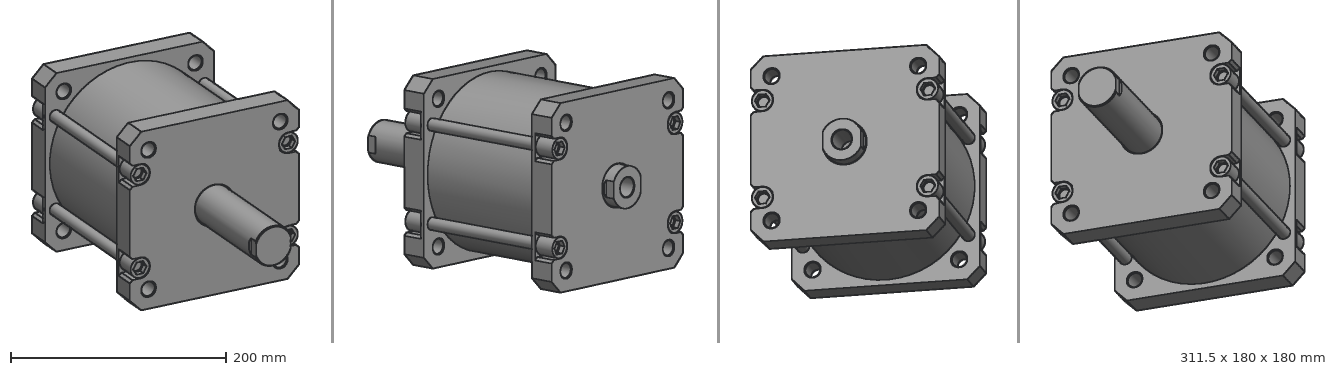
import cadquery as cq
import math

TOTAL_LENGTH = 311.5
LEFT_STUB = 12.5
PLATE_THICKNESS = 25.0
BARREL_LENGTH = 136.7
BARREL_START = LEFT_STUB + PLATE_THICKNESS
RIGHT_PLATE_START = BARREL_START + BARREL_LENGTH
RIGHT_PLATE_END = RIGHT_PLATE_START + PLATE_THICKNESS

PLATE_SIZE = 180.0
CORNER_CHAMFER = 12.0
MOUNT_HOLE_DIAMETER = 14.0
MOUNT_HOLE_OFFSET = 70.0
MOUNT_HOLE_CHAMFER = 1.0
ROD_BORE_CHAMFER = 1.0

BARREL_DIAMETER = 170.0
ROD_DIAMETER = 40.2
ROD_END_CHAMFER = 1.0
WRENCH_FLAT_WIDTH = 36.8
WRENCH_FLAT_LENGTH = 9.7
RUNOUT_LENGTH = 1.5
RUNOUT_RISE = 1.2
ROD_HOLE_DIAMETER = 18.7
ROD_HOLE_CHAMFER = 0.5
ROD_HOLE_DEPTH = 37.5
DRILL_POINT_ANGLE = 118.0

TIE_Y = 79.0
TIE_Z = 47.0
TIE_DIAMETER = 12.0
HEAD_DIAMETER = 20.0
SLOT_WIDTH = 21.2
SLOT_DEPTH = 21.0
SLOT_MOUTH_CHAMFER = 2.8
RIGHT_HEAD_RECESS = 0.3
SOCKET_FLATS = 12.0
SOCKET_DEPTH = 6.0
SOCKET_BOTTOM_DIAMETER = 11.0
SOCKET_BOTTOM_DEPTH = 1.0

TIE_POINTS = [(y, z) for y in (-TIE_Y, TIE_Y) for z in (-TIE_Z, TIE_Z)]
MOUNT_POINTS = [
    (y, z)
    for y in (-MOUNT_HOLE_OFFSET, MOUNT_HOLE_OFFSET)
    for z in (-MOUNT_HOLE_OFFSET, MOUNT_HOLE_OFFSET)
]
LARGEST_CIRCLE = cq.selectors.RadiusNthSelector(-1)


def section(x):
    """Workplane across the axis at x: local coordinates are Y and Z, extrusion goes toward +X."""
    return cq.Workplane("YZ", origin=(x, 0, 0))


def head_slot(x, y, z):
    """Cutter for one bolt-head slot: round at the bolt, open with a chamfered mouth at the side."""
    outward = math.copysign(1, y)
    half = SLOT_WIDTH / 2
    side = outward * PLATE_SIZE / 2
    mouth_start = side - outward * SLOT_MOUTH_CHAMFER
    mouth_half = half + SLOT_MOUTH_CHAMFER
    return (
        section(x)
        .moveTo(y, z + half)
        .lineTo(mouth_start, z + half)
        .lineTo(side, z + mouth_half)
        .lineTo(side, z - mouth_half)
        .lineTo(mouth_start, z - half)
        .lineTo(y, z - half)
        .threePointArc((y - outward * half, z), (y, z + half))
        .close()
        .extrude(SLOT_DEPTH)
    )


def end_plate(x, slot_start, outer_face):
    """Square plate starting at x, with mounting holes, rod bore and tie-bolt seats.

    The rod bore is chamfered on `outer_face`, the side away from the barrel.
    """
    plate = (
        section(x)
        .rect(PLATE_SIZE, PLATE_SIZE)
        .extrude(PLATE_THICKNESS)
        .edges("|X")
        .chamfer(CORNER_CHAMFER)
    )
    mount_holes = section(x).pushPoints(MOUNT_POINTS).circle(MOUNT_HOLE_DIAMETER / 2).extrude(PLATE_THICKNESS)
    plate = plate.cut(mount_holes)
    plate = plate.faces("<X or >X").edges("%CIRCLE").chamfer(MOUNT_HOLE_CHAMFER)
    plate = plate.cut(section(x).circle(ROD_DIAMETER / 2).extrude(PLATE_THICKNESS))
    plate = plate.faces(outer_face).edges(LARGEST_CIRCLE).chamfer(ROD_BORE_CHAMFER)
    tie_holes = section(x).pushPoints(TIE_POINTS).circle(TIE_DIAMETER / 2).extrude(PLATE_THICKNESS)
    plate = plate.cut(tie_holes)
    for y, z in TIE_POINTS:
        plate = plate.cut(head_slot(slot_start, y, z))
    return plate


def barrel():
    """Cylinder body between the plates, bored for the rod."""
    return section(BARREL_START).circle(BARREL_DIAMETER / 2).circle(ROD_DIAMETER / 2).extrude(BARREL_LENGTH)


def wrench_flat(x_end, inward, side):
    """Cutter for one flat at a rod end, with a sloped runout; `inward` and `side` are X and Y signs."""
    flat = side * WRENCH_FLAT_WIDTH / 2
    runout_top = flat + side * RUNOUT_RISE
    clear = side * ROD_DIAMETER
    flat_end = x_end + inward * WRENCH_FLAT_LENGTH
    runout_end = flat_end + inward * RUNOUT_LENGTH
    return (
        cq.Workplane("XY", origin=(0, 0, -ROD_DIAMETER))
        .polyline([
            (x_end, flat),
            (flat_end, flat),
            (runout_end, runout_top),
            (runout_end, clear),
            (x_end, clear),
        ])
        .close()
        .extrude(2 * ROD_DIAMETER)
    )


def drilled_hole():
    """Cutter for the chamfered blind hole with a conical bottom in the left rod end."""
    radius = ROD_HOLE_DIAMETER / 2
    mouth_radius = radius + ROD_HOLE_CHAMFER
    point_length = radius / math.tan(math.radians(DRILL_POINT_ANGLE / 2))
    return (
        cq.Workplane("XY")
        .polyline([
            (0, 0),
            (0, mouth_radius),
            (ROD_HOLE_CHAMFER, radius),
            (ROD_HOLE_DEPTH, radius),
            (ROD_HOLE_DEPTH + point_length, 0),
        ])
        .close()
        .revolve(360, (0, 0), (1, 0))
    )


def piston_rod():
    """Through rod with wrench flats at both ends and a drilled hole in the left end."""
    rod = section(0).circle(ROD_DIAMETER / 2).extrude(TOTAL_LENGTH)
    rod = rod.faces(">X").chamfer(ROD_END_CHAMFER)
    for side in (-1, 1):
        rod = rod.cut(wrench_flat(0, 1, side))
        rod = rod.cut(wrench_flat(TOTAL_LENGTH, -1, side))
    return rod.cut(drilled_hole())


def tie_bolt(y, z):
    """Tie rod with a socketed round head in each plate."""
    right_end = RIGHT_PLATE_END - RIGHT_HEAD_RECESS
    right_seat = RIGHT_PLATE_END - SLOT_DEPTH

    def rod_piece(start, end, diameter):
        return section(start).center(y, z).circle(diameter / 2).extrude(end - start)

    bolt = rod_piece(LEFT_STUB, right_end, TIE_DIAMETER)
    bolt = bolt.union(rod_piece(LEFT_STUB, LEFT_STUB + SLOT_DEPTH, HEAD_DIAMETER))
    bolt = bolt.union(rod_piece(right_seat, right_end, HEAD_DIAMETER))

    hex_corners = SOCKET_FLATS / math.cos(math.pi / 6)
    for end, inward in ((LEFT_STUB, 1), (right_end, -1)):
        mouth = section(end).center(y, z)
        bolt = bolt.cut(mouth.polygon(6, hex_corners).extrude(inward * SOCKET_DEPTH))
        full_depth = SOCKET_DEPTH + SOCKET_BOTTOM_DEPTH
        bolt = bolt.cut(mouth.circle(SOCKET_BOTTOM_DIAMETER / 2).extrude(inward * full_depth))
    return bolt


left_plate = end_plate(LEFT_STUB, LEFT_STUB, "<X")
right_plate = end_plate(RIGHT_PLATE_START, RIGHT_PLATE_END - SLOT_DEPTH, ">X")
cylinder_barrel = barrel()
rod = piston_rod()
tie_bolts = [tie_bolt(y, z) for y, z in TIE_POINTS]

result = cq.Compound.makeCompound([
    left_plate.val(),
    right_plate.val(),
    cylinder_barrel.val(),
    rod.val(),
    *[bolt.val() for bolt in tie_bolts],
])